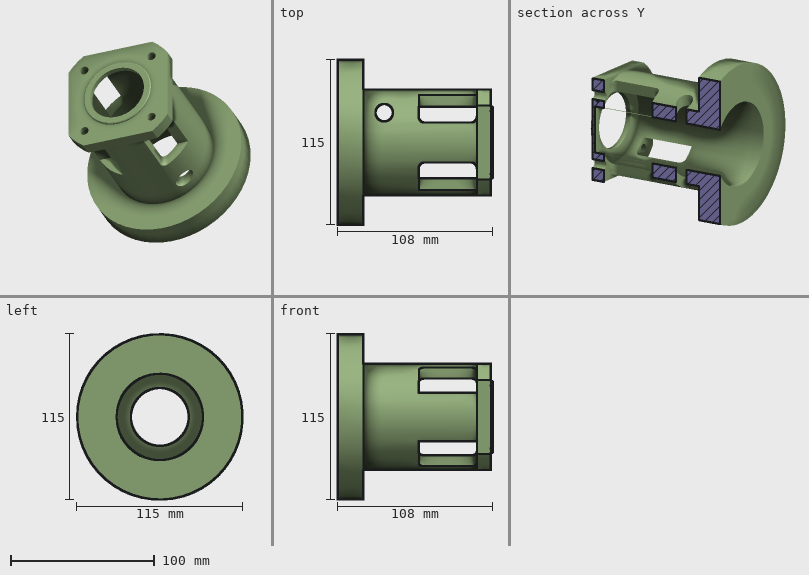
import cadquery as cq

flange_thickness = 17.9
window_start = 56.5
plate_start = 96.7
plate_end = 106.5
bore_depth = 104.0
total_length = 108.0

flange_diameter = 115.0
tube_diameter = 74.0
bore_diameter = 60.0
end_opening_diameter = 40.0
spigot_diameter = 50.0
spigot_chamfer = 0.6
plate_side = tube_diameter
plate_corner_diameter = 89.9

window_min_y = 13.9
window_min_z = 16.9
window_corner_radius = 4.0

cross_hole_diameter = 12.0
cross_hole_x = 32.4
cross_hole_y = 20.7
bolt_hole_diameter = 6.2
bolt_circle_diameter = 70.7


def cylinder(diameter, start, end):
    """Cylinder about the X axis between two axial stations."""
    return cq.Workplane("YZ", origin=(start, 0, 0)).circle(diameter / 2).extrude(end - start)


def end_plate():
    """Square plate whose corners are rounded by a concentric circle."""
    thickness = plate_end - plate_start
    square = cq.Workplane("YZ", origin=(plate_start, 0, 0)).rect(plate_side, plate_side).extrude(thickness)
    return square.intersect(cylinder(plate_corner_diameter, plate_start, plate_end))


def window(y_sign, z_sign):
    """Cutter for one window, with rounded corners on its inner Y side."""
    length = plate_start - window_start
    depth = tube_diameter / 2
    cutter = (
        cq.Workplane("XY")
        .box(length, depth, depth, centered=(False, False, False))
        .edges("|Z and <Y")
        .fillet(window_corner_radius)
        .translate((window_start, window_min_y, window_min_z))
    )
    if y_sign < 0:
        cutter = cutter.mirror("XZ")
    if z_sign < 0:
        cutter = cutter.mirror("XY")
    return cutter


def bolt_holes():
    """Four bolt hole cutters on the diagonals of the end plate."""
    return (
        cq.Workplane("YZ", origin=(plate_start, 0, 0))
        .polarArray(bolt_circle_diameter / 2, 45, 360, 4)
        .circle(bolt_hole_diameter / 2)
        .extrude(plate_end - plate_start)
    )


body = cylinder(flange_diameter, 0, flange_thickness)
body = body.union(cylinder(tube_diameter, flange_thickness, plate_start))

for y_sign in (1, -1):
    for z_sign in (1, -1):
        body = body.cut(window(y_sign, z_sign))

spigot = cylinder(spigot_diameter, plate_end, total_length).faces(">X").edges().chamfer(spigot_chamfer)
body = body.union(end_plate()).union(spigot)
body = body.cut(cylinder(bore_diameter, 0, bore_depth))
body = body.cut(cylinder(end_opening_diameter, bore_depth, total_length))
body = body.cut(bolt_holes())

cross_hole = (
    cq.Workplane("XY")
    .center(cross_hole_x, cross_hole_y)
    .circle(cross_hole_diameter / 2)
    .extrude(tube_diameter / 2, both=True)
)
result = body.cut(cross_hole)